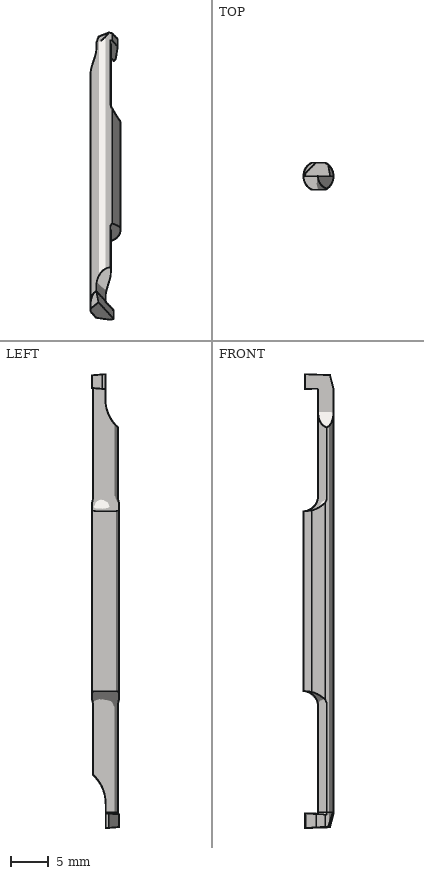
import cadquery as cq
import math

bar_length = 60.0
bar_radius = 2.0
width_across_flats = 3.6
half_length = bar_length / 2

neck_radius = 1.75
neck_axis_x = 1.675
shoulder_z = 11.88
shoulder_fillet = 2.0

rake_start_z = 26.67
rake_runout_radius = 5.0

edge_x = -1.8
hook_width = 2.0
hook_fillet = 0.15
hook_relief_depth = 0.45
hook_side_relief = math.radians(2)
edge_clearance = math.radians(15)
bevel_clearance = math.radians(10)
width_clearance = math.radians(3)
heel_angle = math.radians(45)

tip_root = 0.1
tip_height = hook_width + tip_root

bevel_end_x = 1.5
bevel_height = 2.0

clear_size = 12 * bar_radius


def make_blank():
    """Bar with its two flats."""
    blank = cq.Workplane("XY").circle(bar_radius).extrude(half_length, both=True)
    slab = cq.Workplane("XY").box(2 * bar_radius, width_across_flats, bar_length)
    return blank.intersect(slab)


def make_block_on(plane):
    """Block standing on a plane, wide enough to cut right across the bar."""
    return cq.Workplane(plane).rect(clear_size, clear_size).extrude(clear_size)


def make_neck_cutter():
    """Everything outside the neck, between the shoulder and the underside of the hook."""
    fillet_end_z = shoulder_z + shoulder_fillet
    ring_radius = neck_axis_x + 2 * bar_radius
    fillet_outer = neck_radius + shoulder_fillet
    arc_offset = shoulder_fillet * math.sqrt(0.5)
    arc_middle = (fillet_outer - arc_offset, fillet_end_z - arc_offset)
    ring = (
        cq.Workplane("XZ")
        .moveTo(neck_radius, half_length)
        .lineTo(neck_radius, fillet_end_z)
        .threePointArc(arc_middle, (fillet_outer, shoulder_z))
        .lineTo(ring_radius, shoulder_z)
        .lineTo(ring_radius, half_length)
        .close()
        .revolve(360, (0, 0, 0), (0, 1, 0))
        .translate((neck_axis_x, 0, 0))
    )
    groove = ring.cut(make_hook_space())
    corner_edges = cq.selectors.BoxSelector(
        (neck_axis_x - bar_radius, -bar_radius, half_length - 2 * hook_width),
        (neck_axis_x + bar_radius, bar_radius, half_length),
        boundingbox=True,
    )
    return groove.edges(corner_edges).fillet(hook_fillet)


def make_hook_space():
    """Space above the relieved underside of the hook."""
    underside = cq.Plane(
        origin=(edge_x, 0, half_length - hook_width),
        xDir=(1, 0, math.tan(hook_side_relief)),
        normal=(-math.tan(hook_side_relief), -math.tan(width_clearance), 1),
    )
    return make_block_on(underside)


def make_rake_cutter():
    """Half-bar removal on the -Y side, running out through an arc."""
    runout_angle = math.acos(1 - bar_radius / rake_runout_radius)

    def arc_point(angle):
        return (
            -rake_runout_radius * (1 - math.cos(angle)),
            rake_start_z - rake_runout_radius * math.sin(angle),
        )

    return (
        cq.Workplane("YZ")
        .moveTo(0, half_length)
        .lineTo(0, rake_start_z)
        .threePointArc(arc_point(runout_angle / 2), arc_point(runout_angle))
        .lineTo(-bar_radius, half_length)
        .close()
        .extrude(clear_size, both=True)
    )


def make_front_cutter():
    """Clearance in front of the cutting edge: a narrow relief, then a sloping heel."""
    relief_x = edge_x + hook_relief_depth * math.tan(edge_clearance)
    heel_depth = bar_radius - hook_relief_depth
    heel_x = relief_x + heel_depth * math.tan(heel_angle)
    return (
        cq.Workplane("XY")
        .workplane(offset=shoulder_z + shoulder_fillet)
        .moveTo(edge_x, 0)
        .lineTo(relief_x, hook_relief_depth)
        .lineTo(heel_x, bar_radius)
        .lineTo(-clear_size, bar_radius)
        .lineTo(-clear_size, 0)
        .close()
        .extrude(half_length)
        .intersect(make_hook_space())
    )


def make_bevel_cutter():
    """Bevel on the back of the hook, relieved away from the rake face."""
    bevel_slope = (bar_radius - bevel_end_x) / bevel_height
    bevel_plane = cq.Plane(
        origin=(bevel_end_x, 0, half_length),
        xDir=(-bevel_slope, 0, 1),
        normal=(1, math.tan(bevel_clearance), bevel_slope),
    )
    return make_block_on(bevel_plane)


def make_end_cutter():
    """End face, falling away from the corner of the cutting edge."""
    end_plane = cq.Plane(
        origin=(edge_x, 0, half_length),
        xDir=(1, 0, -math.tan(hook_side_relief)),
        normal=(math.tan(hook_side_relief), math.tan(width_clearance), 1),
    )
    return make_block_on(end_plane)


def cut_end(bar, turn):
    """Cut one end of the bar; half a turn about X gives the other end."""
    cutters = (
        make_neck_cutter(),
        make_rake_cutter(),
        make_front_cutter(),
        make_bevel_cutter(),
        make_end_cutter(),
    )
    for cutter in cutters:
        bar = bar.cut(cutter.rotate((0, 0, 0), (1, 0, 0), turn))
    return bar


def make_profile():
    """Finished shape of the bar and its tip together."""
    profile = make_blank()
    for turn in (0, 180):
        profile = cut_end(profile, turn)
    return profile


def make_tip_region():
    """Block around the end of the bar that the separate tip takes up."""
    return (
        cq.Workplane("XY")
        .workplane(offset=-half_length)
        .rect(clear_size, clear_size)
        .extrude(tip_height)
    )


def make_bar():
    """Double-ended bar with one hook of its own and a plain face for the tip."""
    return make_profile().cut(make_tip_region())


def make_tip():
    """Hooked cutting tip on the -Z end of the bar."""
    return make_profile().intersect(make_tip_region())


bar = make_bar()
tip = make_tip()

result = cq.Compound.makeCompound([bar.solids().val(), tip.solids().val()])